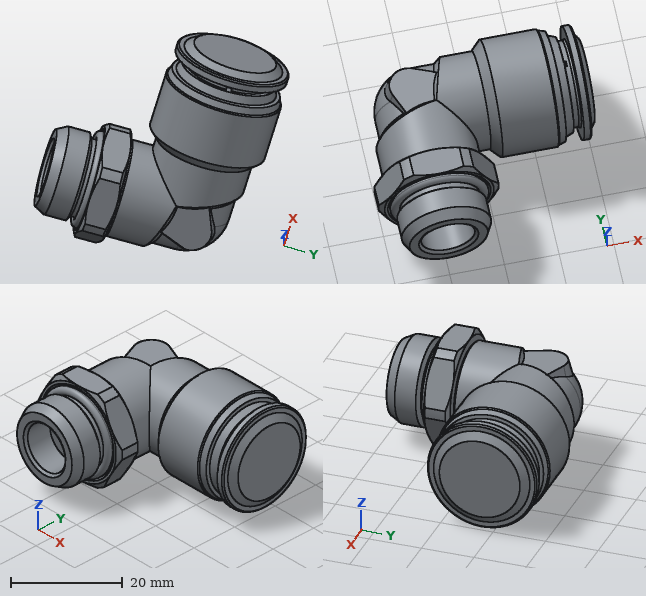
import cadquery as cq
import math


BEND_RADIUS = 7.95
ARM_RADIUS = 8.95
RIM_OUTER_X = 5.87
RIM_INNER_X = 4.5
RIM_SLANT = 15.0
RIM_HEEL = 0.1

PAD_HEIGHT = 8.0
PAD_RADIUS = 3.45
PAD_CENTRE = 1.5
PAD_TIP_FAR = 4.05
PAD_TIP_NEAR = 3.0
PAD_HEEL = 2.8
PAD_DRAFT = 15.0

SOCKET_RADIUS = 10.75
SHOULDER_X = 11.35
SOCKET_END_X = 23.35
SOCKET_EDGE = 0.25
CAP_END_X = 24.9
CAP_END_RADIUS = 10.1
RING_START_X = 25.05
RING_START_RADIUS = 9.35
RING_END_X = 26.57
RING_END_RADIUS = 8.75
COLLAR_NECK_RADIUS = 7.9
COLLAR_X = 28.1
COLLAR_RADIUS = 10.4
COLLAR_ROOT = 0.45
COLLAR_ROOT_RISE = 0.15
COLLAR_RIM_X = 29.57
COLLAR_EDGE = 0.3
NOSE_START_RADIUS = 9.15
NOSE_END_RADIUS = 7.65
NOSE_X = 30.65
SLOT_LENGTH = 0.5
SLOT_WIDTH = 1.0

LEG_END = 12.95
LEG_EDGE = 0.3
SPIGOT_RADIUS = 7.7
HEX_START = 13.15
HEX_HEIGHT = 5.0
HEX_FLATS = 20.0
HEX_HALF_SECTOR = 30.0
HEX_CORNER_RADIUS = 11.0
HEX_CHAMFER_ANGLE = 30.0
STUD_NECK_RADIUS = 7.2
STUD_NECK_END = 19.8
THREAD_RADIUS = 8.2
THREAD_START = 20.35
THREAD_CHAMFER = 24.35
THREAD_END_RADIUS = 7.15
STUD_END = 26.32
BORE_RADIUS = 4.9
BORE_MOUTH_RADIUS = 5.45
BORE_DEPTH = 6.0
SEAL_SECTION_RADIUS = 0.87
SEAL_OUTER_RADIUS = 9.0
SEAL_OFFSET = 0.12
RECESS_MOUTH_RADIUS = 9.4
RECESS_DEPTH = 0.62


def slanted_ellipse(radius, x_outside, x_inside):
    """Section of a cylinder about X by a plane running from y = radius to y = -radius."""
    run = x_outside - x_inside
    slope = cq.Vector(run, 2 * radius, 0)
    centre = cq.Vector((x_outside + x_inside) / 2, 0, 0)
    normal = cq.Vector(2 * radius, -run, 0)
    return cq.Wire.makeEllipse(slope.Length / 2, radius, centre, normal, slope, rotation_angle=0)


def make_arm(length):
    """Arm along +X: thin at the bend, then a slanted step up to the thick part."""
    thin = cq.Workplane("YZ").circle(BEND_RADIUS).extrude(length)
    rim_inside_x = RIM_OUTER_X - 2 * ARM_RADIUS * math.tan(math.radians(RIM_SLANT))
    thick = cq.Workplane("YZ").circle(ARM_RADIUS).extrude(length)
    keep = (
        cq.Workplane("XY")
        .polyline([
            (RIM_OUTER_X, ARM_RADIUS),
            (length, ARM_RADIUS),
            (length, -ARM_RADIUS),
            (rim_inside_x, -ARM_RADIUS),
        ])
        .close()
        .extrude(ARM_RADIUS, both=True)
    )
    step = cq.Solid.makeLoft(
        [
            slanted_ellipse(BEND_RADIUS, RIM_INNER_X, rim_inside_x - RIM_HEEL),
            slanted_ellipse(ARM_RADIUS, RIM_OUTER_X, rim_inside_x),
        ],
        True,
    )
    return thin.union(thick.intersect(keep)).union(cq.Workplane(step))


def make_pad():
    """Drafted flat pad on the +Z flank of the bend, pointing away from both arms."""
    tip_dx = PAD_CENTRE - PAD_TIP_NEAR
    tip_dy = -PAD_TIP_FAR - PAD_CENTRE
    tip_angle = math.atan2(tip_dy, tip_dx)
    tangent_angle = tip_angle - math.acos(PAD_RADIUS / math.hypot(tip_dx, tip_dy))
    tangent_x = -PAD_CENTRE + PAD_RADIUS * math.cos(tangent_angle)
    tangent_y = PAD_CENTRE + PAD_RADIUS * math.sin(tangent_angle)
    crown = PAD_CENTRE + PAD_RADIUS * math.sqrt(0.5)
    return (
        cq.Workplane("XY")
        .workplane(offset=PAD_HEIGHT)
        .moveTo(-PAD_TIP_NEAR, -PAD_TIP_FAR)
        .lineTo(tangent_x, tangent_y)
        .threePointArc((-crown, crown), (-tangent_y, -tangent_x))
        .lineTo(PAD_TIP_FAR, PAD_TIP_NEAR)
        .lineTo(PAD_HEEL, -PAD_HEEL)
        .close()
        .extrude(-PAD_HEIGHT, taper=-PAD_DRAFT)
    )


def make_socket():
    """Tube socket with its end cap, ring and release collar, turned about X."""
    shoulder_end_x = SHOULDER_X + SOCKET_RADIUS - ARM_RADIUS
    return (
        cq.Workplane("XY")
        .polyline([
            (SHOULDER_X, 0),
            (SHOULDER_X, ARM_RADIUS),
            (shoulder_end_x, SOCKET_RADIUS),
            (SOCKET_END_X, SOCKET_RADIUS),
            (SOCKET_END_X + SOCKET_EDGE, SOCKET_RADIUS - SOCKET_EDGE),
            (CAP_END_X, CAP_END_RADIUS),
            (RING_START_X, RING_START_RADIUS),
            (RING_END_X, RING_END_RADIUS),
            (RING_END_X, COLLAR_NECK_RADIUS),
            (COLLAR_X - COLLAR_ROOT, COLLAR_NECK_RADIUS),
            (COLLAR_X, COLLAR_NECK_RADIUS + COLLAR_ROOT_RISE),
            (COLLAR_X, COLLAR_RADIUS),
            (COLLAR_RIM_X - COLLAR_EDGE, COLLAR_RADIUS),
            (COLLAR_RIM_X, COLLAR_RADIUS - COLLAR_EDGE),
            (COLLAR_RIM_X, NOSE_START_RADIUS),
            (NOSE_X, NOSE_END_RADIUS),
            (NOSE_X, 0),
        ])
        .close()
        .revolve(360, (0, 0, 0), (1, 0, 0))
    )


def make_elbow():
    """Elbow housing with the tube socket and collar."""
    tube_arm = make_arm(SHOULDER_X)
    leg = make_arm(LEG_END).faces(">X").chamfer(LEG_EDGE).rotate((0, 0, 0), (1, -1, 0), 180)
    pad = make_pad()
    slot = (
        cq.Workplane("XY")
        .center(RING_END_X + SLOT_LENGTH / 2, 0)
        .rect(SLOT_LENGTH, SLOT_WIDTH)
        .extrude(COLLAR_RADIUS, both=True)
    )
    return (
        cq.Workplane("XY")
        .sphere(BEND_RADIUS)
        .union(tube_arm)
        .union(leg)
        .union(pad)
        .union(pad.mirror("XY"))
        .union(make_socket())
        .cut(slot)
    )


def turn_about_y(points):
    """Solid of revolution about Y from (radius, distance along -Y) points."""
    outline = [(radius, -distance) for radius, distance in points]
    return cq.Workplane("XY").polyline(outline).close().revolve(360, (0, 0, 0), (0, 1, 0))


def make_hexagon():
    """Hexagon with turned-off corners, chamfered on both faces, corners towards +X and -X."""
    hex_end = HEX_START + HEX_HEIGHT
    face_radius = HEX_FLATS / 2
    chamfer = (HEX_CORNER_RADIUS - face_radius) * math.tan(math.radians(HEX_CHAMFER_ANGLE))
    blank = turn_about_y([
        (0, HEX_START),
        (face_radius, HEX_START),
        (HEX_CORNER_RADIUS, HEX_START + chamfer),
        (HEX_CORNER_RADIUS, hex_end - chamfer),
        (face_radius, hex_end),
        (0, hex_end),
    ])
    prism = (
        cq.Workplane("XZ")
        .workplane(offset=HEX_START)
        .polygon(6, HEX_FLATS, circumscribed=True)
        .extrude(HEX_HEIGHT)
        .rotate((0, 0, 0), (0, 1, 0), HEX_HALF_SECTOR)
    )
    seal_recess = turn_about_y([
        (0, hex_end),
        (RECESS_MOUTH_RADIUS, hex_end),
        (SEAL_OUTER_RADIUS, hex_end - RECESS_DEPTH),
        (0, hex_end - RECESS_DEPTH),
    ])
    return blank.intersect(prism).cut(seal_recess)


def make_stud():
    """Threaded stud with its hexagon, seal ring and blind bore."""
    hex_end = HEX_START + HEX_HEIGHT
    shank = turn_about_y([
        (0, LEG_END),
        (SPIGOT_RADIUS, LEG_END),
        (SPIGOT_RADIUS, HEX_START),
        (STUD_NECK_RADIUS, HEX_START),
        (STUD_NECK_RADIUS, STUD_NECK_END),
        (THREAD_RADIUS, THREAD_START),
        (THREAD_RADIUS, THREAD_CHAMFER),
        (THREAD_END_RADIUS, STUD_END),
        (0, STUD_END),
    ])
    seal = cq.Workplane(
        cq.Solid.makeTorus(
            SEAL_OUTER_RADIUS - SEAL_SECTION_RADIUS,
            SEAL_SECTION_RADIUS,
            cq.Vector(0, -hex_end - SEAL_OFFSET, 0),
            cq.Vector(0, 1, 0),
        )
    )
    mouth_depth = BORE_MOUTH_RADIUS - BORE_RADIUS
    bore = turn_about_y([
        (0, STUD_END),
        (BORE_MOUTH_RADIUS, STUD_END),
        (BORE_RADIUS, STUD_END - mouth_depth),
        (BORE_RADIUS, STUD_END - BORE_DEPTH),
        (0, STUD_END - BORE_DEPTH),
    ])
    return make_hexagon().union(shank).union(seal).cut(bore)


elbow = make_elbow()
stud = make_stud()
result = cq.Compound.makeCompound([elbow.solids().val(), stud.solids().val()])